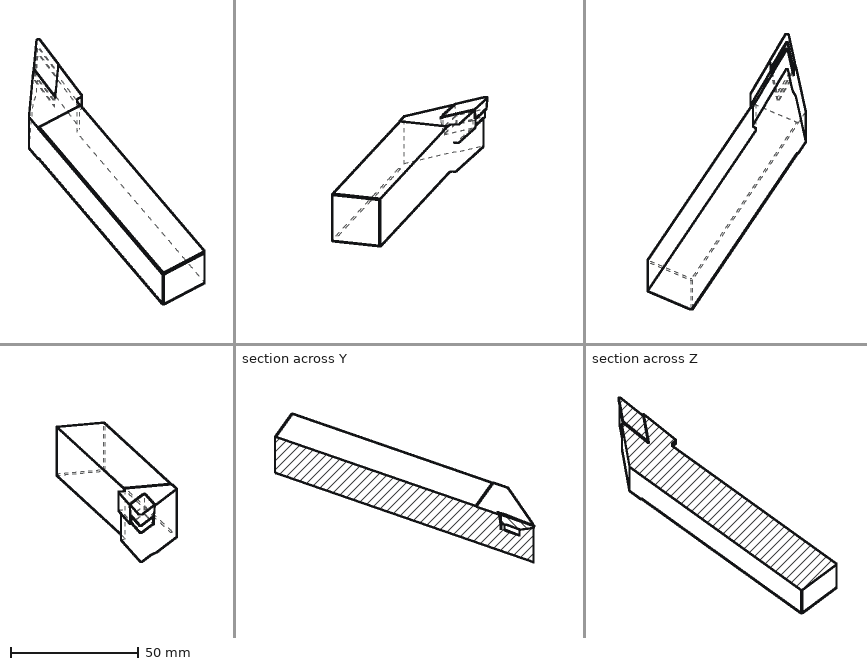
import cadquery as cq
import math

length = 125.0
tip_y = 25.0
shank_size = 20.0
edge_chamfer = 0.5

insert_width = 9.5
corner_angle = 35.0
nose_radius = 0.8
insert_thickness = 4.7
relief_angle = 5.0
back_angle = 3.0

head_height = 19.7
head_step_x = 36.6
head_end_x = 33.4
front_corner_x = 30.2
head_corner_radius = 0.7
shank_fillet_radius = 1.4
shim_thickness = 3.1
shim_front_inset = 0.56
shim_back_inset = 0.7
support_front_inset = 0.7
support_back_inset = 1.09
shelf_nose_radius = 0.4
blend_start_x = 9.4
blend_end_x = 13.1
pocket_clearance = 1.2

seat_z = shank_size - insert_thickness
shim_z = seat_z - shim_thickness
relief_inset = insert_thickness * math.tan(math.radians(relief_angle))
front_angle = back_angle + corner_angle
back_slope = math.tan(math.radians(back_angle))
front_slope = math.tan(math.radians(front_angle))
back_cos = math.cos(math.radians(back_angle))
front_cos = math.cos(math.radians(front_angle))
back_y0 = tip_y - nose_radius + nose_radius / back_cos + nose_radius * back_slope
front_y0 = tip_y - nose_radius - nose_radius / front_cos + nose_radius * front_slope


def side_crossing(back_inset, front_inset):
    """Point where a back-parallel line meets a front-parallel line."""
    back_y = back_y0 - back_inset / back_cos
    front_y = front_y0 + front_inset / front_cos
    x = (front_y - back_y) / (front_slope - back_slope)
    return (x, back_y - back_slope * x)


def rhombus(back, front, far_back, far_front):
    """Nose, top, far and bottom corners; each side is moved inward by its inset."""
    opposite_back = insert_width - far_back
    opposite_front = insert_width - far_front
    return [
        side_crossing(back, front),
        side_crossing(back, opposite_front),
        side_crossing(opposite_back, opposite_front),
        side_crossing(opposite_back, front),
    ]


def prism(points, bottom, top):
    return cq.Workplane("XY").workplane(offset=bottom).polyline(points).close().extrude(top - bottom)


def loft_rhombus(bottom_points, bottom, top_points, top):
    return (
        cq.Workplane("XY").workplane(offset=bottom).polyline(bottom_points).close()
        .workplane(offset=top - bottom).polyline(top_points).close()
        .loft(ruled=True)
    )


def vertical_edge_at(body, point, radius):
    """Round the upright edge nearest to a plan point."""
    middle = body.val().BoundingBox().center
    nearest = cq.selectors.NearestToPointSelector((point[0], point[1], middle.z))
    return body.edges("|Z").edges(nearest).fillet(radius)


def make_insert():
    corners = rhombus(0, 0, 0, 0)
    blank = prism(corners, 0, insert_thickness)
    for acute_corner in (corners[0], corners[2]):
        blank = vertical_edge_at(blank, acute_corner, nose_radius)
    outline = blank.faces(">Z").wires().translate((0, 0, shank_size - insert_thickness))
    return (
        cq.Workplane("XY", origin=(0, 0, shank_size)).add(outline).toPending()
        .extrude(-insert_thickness, taper=relief_angle)
    )


def make_head(back_inset, bottom, top):
    """Head slab: slanted front with its S blend, back side and neck to the shank."""
    nose = side_crossing(back_inset, support_front_inset)
    support_y0 = front_y0 + support_front_inset / front_cos
    blend_start = (blend_start_x, support_y0 - front_slope * blend_start_x)
    blend_end = (blend_end_x, front_slope * (front_corner_x - blend_end_x))
    blend_middle = ((blend_start[0] + blend_end[0]) / 2, (blend_start[1] + blend_end[1]) / 2)
    head_corner = (head_end_x, back_y0 - back_inset / back_cos - back_slope * head_end_x)
    neck = (head_end_x, shank_size)
    body = (
        cq.Workplane("XY").workplane(offset=bottom)
        .moveTo(*nose).lineTo(*blend_start)
        .tangentArcPoint(blend_middle, relative=False)
        .tangentArcPoint(blend_end, relative=False)
        .lineTo(front_corner_x, 0).lineTo(head_step_x, 0).lineTo(head_step_x, shank_size)
        .lineTo(*neck).lineTo(*head_corner).close()
        .extrude(top - bottom)
    )
    body = vertical_edge_at(body, nose, shelf_nose_radius)
    body = vertical_edge_at(body, head_corner, head_corner_radius)
    return vertical_edge_at(body, neck, shank_fillet_radius)


def make_shank():
    shank = cq.Workplane("XY").box(length - front_corner_x, shank_size, shank_size, centered=False)
    shank = shank.translate((front_corner_x, 0, 0))
    shank = shank.edges("|X").edges("<Y").chamfer(edge_chamfer).faces(">X").chamfer(edge_chamfer)
    drop = shank_size - head_height
    lowering = (
        cq.Workplane("XZ")
        .polyline([(front_corner_x, head_height), (head_step_x, head_height),
                   (head_step_x + drop, shank_size), (front_corner_x, shank_size)])
        .close().extrude(-shank_size)
    )
    return shank.cut(lowering)


def make_pocket():
    """Open recess for the insert, continued straight down around the shim."""
    top_points = rhombus(-pocket_clearance, -pocket_clearance, 0, 0)
    floor_points = rhombus(-pocket_clearance, -pocket_clearance, relief_inset, relief_inset)
    upper = loft_rhombus(floor_points, seat_z, top_points, shank_size)
    return upper.union(prism(floor_points, shim_z, seat_z))


def make_shim_shelf():
    """Raised rhombic shelf under the insert, clear of the pocket walls."""
    points = rhombus(shim_back_inset, shim_front_inset, shim_back_inset, shim_front_inset)
    return vertical_edge_at(prism(points, shim_z, seat_z), points[0], shelf_nose_radius)


def make_holder():
    lower_head = make_head(support_back_inset, 0, shim_z)
    upper_head = make_head(0, shim_z, head_height).cut(make_pocket())
    return lower_head.union(upper_head).union(make_shim_shelf()).union(make_shank())


insert = make_insert()
holder = make_holder()
result = cq.Compound.makeCompound([holder.val(), insert.val()])